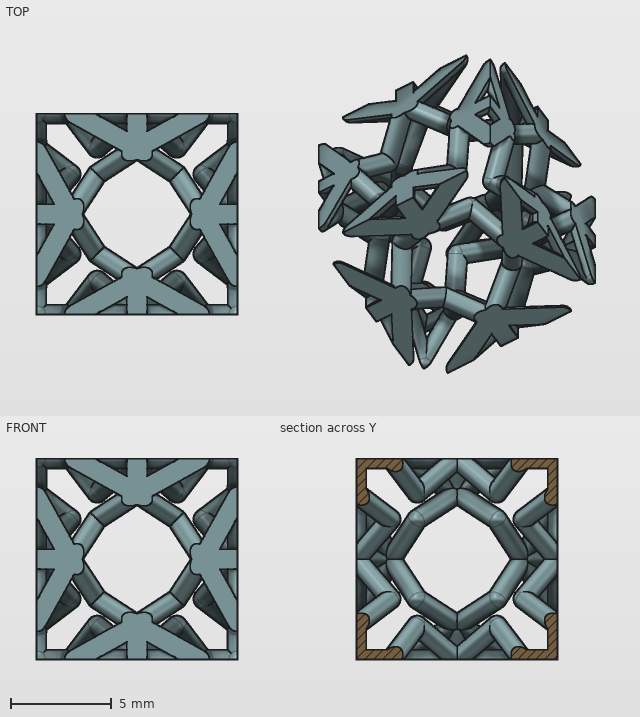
import cadquery as cq

cube_side = 10.0
strut_diameter = 1.0
hub_offset = 3.27
rib_reach = 3.1
bend_side = 1.98
bend_depth = 3.3

half_side = cube_side / 2
strut_radius = strut_diameter / 2

AXES = (0, 1, 2)
SIGNS = (-1, 1)
SIGN_PAIRS = [(first, second) for first in SIGNS for second in SIGNS]


def place(axis, normal, along, across):
    """Point at height normal on the given axis (0, 1, 2); the other two axes follow in cyclic order."""
    coordinates = [0.0, 0.0, 0.0]
    coordinates[axis] = normal
    coordinates[(axis + 1) % 3] = along
    coordinates[(axis + 2) % 3] = across
    return cq.Vector(*coordinates)


def strut(start, end):
    """Round bar between two points."""
    span = end - start
    return cq.Solid.makeCylinder(strut_radius, span.Length, start, span)


def ball(center):
    """Ball that rounds off the joint between struts."""
    return cq.Solid.makeSphere(strut_radius, center, angleDegrees1=-90, angleDegrees2=90)


def hub_group(axis, normal_sign, hub_sign, swapped):
    """One hub on a cube face with the five struts that leave it."""
    def point(normal, sideways, outward):
        if swapped:
            return place(axis, normal_sign * normal, hub_sign * outward, sideways)
        return place(axis, normal_sign * normal, sideways, hub_sign * outward)

    hub = point(half_side, 0, hub_offset)
    group = [ball(hub), strut(hub, point(half_side, 0, half_side))]
    for side in SIGNS:
        group.append(strut(hub, point(half_side, side * rib_reach, half_side)))
        group.append(strut(hub, point(bend_depth, side * bend_side, bend_side)))
    return group


def joint_balls(axis):
    """Balls at the inner bends deepest along an axis and at the rib ends on the edges parallel to it."""
    balls = []
    for normal_sign in SIGNS:
        for first, second in SIGN_PAIRS:
            bend = place(axis, normal_sign * bend_depth, first * bend_side, second * bend_side)
            rib_end = place(axis, normal_sign * rib_reach, first * half_side, second * half_side)
            balls += [ball(bend), ball(rib_end)]
    return balls


members = []
for axis in AXES:
    members += joint_balls(axis)
    for normal_sign, hub_sign in SIGN_PAIRS:
        for swapped in (False, True):
            members += hub_group(axis, normal_sign, hub_sign, swapped)

lattice = members[0].fuse(*members[1:])
cube = cq.Workplane("XY").box(cube_side, cube_side, cube_side)
result = cube.intersect(cq.Workplane(obj=lattice))